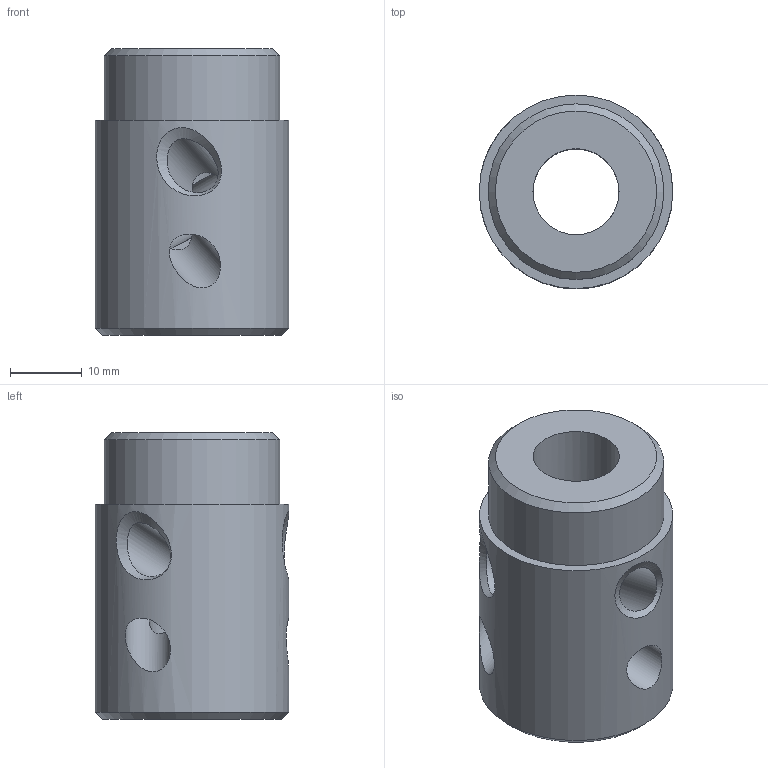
import cadquery as cq
import math

body_diameter = 27.0
body_height = 30.0
neck_diameter = 24.5
total_height = 40.0
bore_diameter = 12.0
edge_chamfer = 1.0

hole_count = 3
hole_diameter = 6.3
hole_axis_offset = 6.15
hole_mid_height = 17.3
hole_slope = 30.0
first_hole_turn = -30.0
hole_overrun = 10.0
entry_chamfer = 1.0

half_chord = math.sqrt((body_diameter / 2) ** 2 - hole_axis_offset**2)
half_drop = half_chord * math.tan(math.radians(hole_slope))
entry_point = cq.Vector(hole_axis_offset, -half_chord, hole_mid_height + half_drop)
exit_point = cq.Vector(hole_axis_offset, half_chord, hole_mid_height - half_drop)


def make_outside():
    """Body with a narrower neck on top, chamfered at both ends."""
    body = cq.Workplane("XY").circle(body_diameter / 2).extrude(body_height)
    body = body.faces("<Z").edges().chamfer(edge_chamfer)
    neck = cq.Workplane("XY").circle(neck_diameter / 2).extrude(total_height)
    neck = neck.faces(">Z").edges().chamfer(edge_chamfer)
    return body.union(neck)


def make_drill(turn):
    """Slanted cylinder through entry and exit, overrunning the wall, turned about the sleeve axis."""
    chord = exit_point - entry_point
    inward = chord.normalized()
    start = entry_point - inward * hole_overrun
    drill = cq.Solid.makeCylinder(hole_diameter / 2, chord.Length + 2 * hole_overrun, start, inward)
    return cq.Workplane(obj=drill).rotate((0, 0, 0), (0, 0, 1), turn)


def entry_rim(turn):
    """Selector for the rim of a hole where it enters the wall."""
    angle = math.radians(turn)
    x = entry_point.x * math.cos(angle) - entry_point.y * math.sin(angle)
    y = entry_point.x * math.sin(angle) + entry_point.y * math.cos(angle)
    return cq.selectors.NearestToPointSelector((x, y, entry_point.z))


def make_bore():
    return cq.Workplane("XY").circle(bore_diameter / 2).extrude(total_height)


hole_turns = [first_hole_turn + index * 360.0 / hole_count for index in range(hole_count)]

result = make_outside()
for hole_turn in hole_turns:
    result = result.cut(make_drill(hole_turn))
for hole_turn in hole_turns:
    result = result.edges(entry_rim(hole_turn)).chamfer(entry_chamfer)
result = result.cut(make_bore())